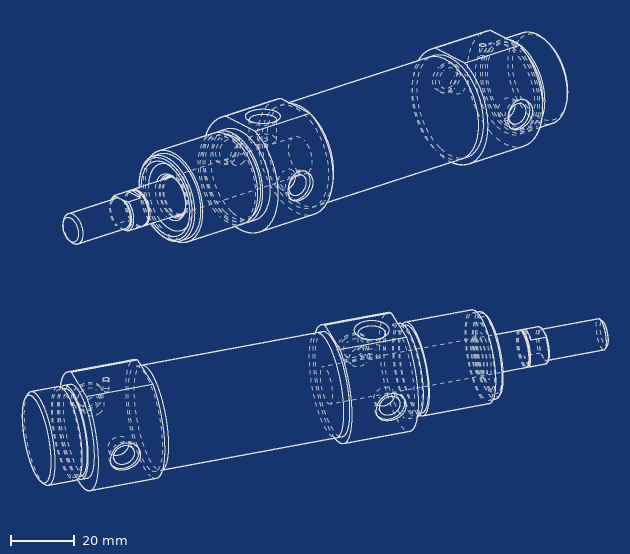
import cadquery as cq


HEAD_DIA = 38.0
HEAD_FLAT_HEIGHT = 17.5
HEAD_LENGTH = 22.0
NECK_DIA = 30.0
GROOVE_DIA = 28.0
GROOVE_WIDTH = 2.0
GROOVE_TO_HEAD = (2.0, 3.0)
REAR_NECK_LENGTH = 14.0
REAR_CHAMFER = 1.0
FRONT_NECK_LENGTH = 30.0
PILOT_LENGTH = 3.0
PILOT_DIA = 28.0
PILOT_CHAMFER = 0.6
COLLAR_LENGTH = 2.0

BARREL_DIA = 33.6
BARREL_LENGTH = 58.0

HOLE_FROM_NECK = 9.0
MOUNT_SINK_DIA = 10.0
MOUNT_SINK_DEPTH = 1.5
MOUNT_HOLE_DIA = 6.92
MOUNT_HOLE_DEPTH = 7.0
PORT_DIA = 8.57
PORT_DEPTH = 8.0
PORT_MOUTH_DIA = 11.0
PORT_PASSAGE_DIA = 3.0
PORT_PASSAGE_DEPTH = 10.0
VENT_DIA = 2.0
VENT_DEPTH = 4.0

RECESS_MOUTH_DIA = 24.5
RECESS_FLOOR_DIA = 22.0
RECESS_DEPTH = 2.0
SEAL_MOUTH_DIA = 15.2
SEAL_LEDGE_DIA = 14.0
SEAL_LEDGE_DEPTH = 1.0
SEAL_DIA = 13.0
SEAL_DEPTH = 2.0

ROD_DIA = 12.0
ROD_EXPOSED = 18.0
ROD_EDGE_DIA = 11.0
MARK_GROOVE_DIA = 11.5
MARK_GROOVE_FROM_END = 6.7
MARK_GROOVE_WIDTH = 0.6
FLAT_SPAN = 10.0
FLAT_LENGTH = 5.4
THREAD_DIA = 10.0
THREAD_LENGTH = 20.0
THREAD_TIP_DIA = 8.0

rear_head_start = REAR_NECK_LENGTH
rear_head_end = rear_head_start + HEAD_LENGTH
barrel_start = rear_head_end + COLLAR_LENGTH
barrel_end = barrel_start + BARREL_LENGTH
front_head_start = barrel_end + COLLAR_LENGTH
front_head_end = front_head_start + HEAD_LENGTH
front_face = front_head_end + FRONT_NECK_LENGTH
rod_end = front_face + ROD_EXPOSED
rod_tip = rod_end + THREAD_LENGTH


def turned(profile):
    """Revolve (station, diameter) pairs about the cylinder axis."""
    start, end = profile[0][0], profile[-1][0]
    outline = [(0, -start)]
    outline += [(dia / 2, -station) for station, dia in profile]
    outline += [(0, -end)]
    return cq.Workplane("XY").polyline(outline).close().revolve(360, (0, 0, 0), (0, 1, 0))


def cylinder(station_from, station_to, dia):
    return turned([(station_from, dia), (station_to, dia)])


def head_block(station_from):
    """Round block with one flat on top."""
    block = cylinder(station_from, station_from + HEAD_LENGTH, HEAD_DIA)
    above_flat = cq.Workplane("XY").box(
        HEAD_DIA, HEAD_LENGTH, HEAD_DIA, centered=(True, False, False)
    ).translate((0, -station_from - HEAD_LENGTH, HEAD_FLAT_HEIGHT))
    return block.cut(above_flat)


def cut_mount_holes(head, station):
    """Counterbored mounting holes on both sides of a head."""
    for side, plane in ((1, "YZ"), (-1, "ZY")):
        face = cq.Workplane(plane, origin=(side * HEAD_DIA / 2, -station, 0))
        head = head.cut(face.circle(MOUNT_SINK_DIA / 2).extrude(-MOUNT_SINK_DEPTH))
        head = head.cut(face.circle(MOUNT_HOLE_DIA / 2).extrude(-MOUNT_HOLE_DEPTH))
    return head


def flat_face(station):
    return cq.Workplane("XY", origin=(0, -station, HEAD_FLAT_HEIGHT))


def cut_port(head, station):
    """Air port with a countersunk mouth and a small passage in its floor."""
    face = flat_face(station)
    mouth_depth = (PORT_MOUTH_DIA - PORT_DIA) / 2
    mouth = face.circle(PORT_MOUTH_DIA / 2).extrude(-mouth_depth, taper=45)
    bore = face.circle(PORT_DIA / 2).extrude(-PORT_DEPTH)
    passage = face.circle(PORT_PASSAGE_DIA / 2).extrude(-PORT_PASSAGE_DEPTH)
    return head.cut(mouth).cut(bore).cut(passage)


def make_rear_head():
    groove_end = rear_head_start - GROOVE_TO_HEAD[0]
    groove_start = groove_end - GROOVE_WIDTH
    neck = turned([
        (0, NECK_DIA - 2 * REAR_CHAMFER),
        (REAR_CHAMFER, NECK_DIA),
        (groove_start, NECK_DIA),
        (groove_start, GROOVE_DIA),
        (groove_end, GROOVE_DIA),
        (groove_end, NECK_DIA),
        (rear_head_start, NECK_DIA),
    ])
    collar = cylinder(rear_head_end, barrel_start, BARREL_DIA)
    head = head_block(rear_head_start).union(neck).union(collar)
    hole_station = rear_head_start + HOLE_FROM_NECK
    head = cut_mount_holes(head, hole_station)
    return head.cut(flat_face(hole_station).circle(VENT_DIA / 2).extrude(-VENT_DEPTH))


def make_barrel():
    return cylinder(barrel_start, barrel_end, BARREL_DIA)


def make_front_head():
    groove_start = front_head_end + GROOVE_TO_HEAD[1]
    groove_end = groove_start + GROOVE_WIDTH
    pilot_start = front_face - PILOT_LENGTH
    neck = turned([
        (front_head_end, NECK_DIA),
        (groove_start, NECK_DIA),
        (groove_start, GROOVE_DIA),
        (groove_end, GROOVE_DIA),
        (groove_end, NECK_DIA),
        (pilot_start, NECK_DIA),
        (pilot_start, PILOT_DIA),
        (front_face - PILOT_CHAMFER, PILOT_DIA),
        (front_face, PILOT_DIA - 2 * PILOT_CHAMFER),
    ])
    collar = cylinder(barrel_end, front_head_start, BARREL_DIA)
    head = head_block(front_head_start).union(neck).union(collar)

    recess_floor = front_face - RECESS_DEPTH
    seal_ledge = recess_floor - SEAL_LEDGE_DEPTH
    seal_floor = recess_floor - SEAL_DEPTH
    opening = turned([
        (barrel_end, ROD_DIA),
        (seal_floor, ROD_DIA),
        (seal_floor, SEAL_DIA),
        (seal_ledge, SEAL_DIA),
        (seal_ledge, SEAL_LEDGE_DIA),
        (recess_floor, SEAL_MOUTH_DIA),
        (recess_floor, RECESS_FLOOR_DIA),
        (front_face, RECESS_MOUTH_DIA),
    ])
    hole_station = front_head_end - HOLE_FROM_NECK
    head = cut_mount_holes(head.cut(opening), hole_station)
    return cut_port(head, hole_station)


def make_rod():
    groove = rod_end - MARK_GROOVE_FROM_END
    edge_chamfer = (ROD_DIA - ROD_EDGE_DIA) / 2
    tip_chamfer = (THREAD_DIA - THREAD_TIP_DIA) / 2
    rod = turned([
        (barrel_end, ROD_DIA),
        (groove - MARK_GROOVE_WIDTH / 2, ROD_DIA),
        (groove, MARK_GROOVE_DIA),
        (groove + MARK_GROOVE_WIDTH / 2, ROD_DIA),
        (rod_end - edge_chamfer, ROD_DIA),
        (rod_end, ROD_EDGE_DIA),
        (rod_end, THREAD_DIA),
        (rod_tip - tip_chamfer, THREAD_DIA),
        (rod_tip, THREAD_TIP_DIA),
    ])
    for side in (1, -1):
        cutter = cq.Workplane("XY").box(ROD_DIA, FLAT_LENGTH, ROD_DIA - FLAT_SPAN)
        rod = rod.cut(cutter.translate((0, -rod_end + FLAT_LENGTH / 2, side * ROD_DIA / 2)))
    return rod


rear_head = make_rear_head()
barrel = make_barrel()
front_head = make_front_head()
rod = make_rod()

result = cq.Compound.makeCompound([
    rear_head.val(),
    barrel.val(),
    front_head.val(),
    rod.val(),
])